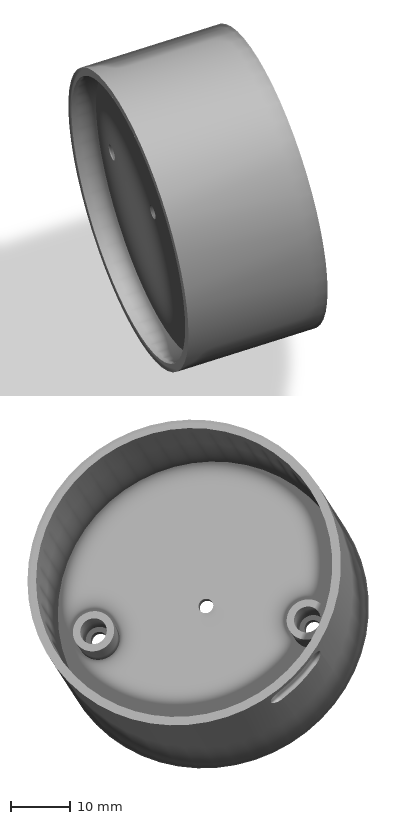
import cadquery as cq
import math

OUTER_DIAMETER = 53.98
INNER_DIAMETER = 51.0
LENGTH = 25.4
FRONT_RECESS_DEPTH = 4.45
WEB_THICKNESS = 1.2

CENTER_HOLE_DIAMETER = 2.54
SIDE_HOLE_DIAMETER = 2.8
SIDE_HOLE_CIRCLE_RADIUS = 19.05
SIDE_HOLE_ANGLE = 15.0

POST_BORE_DIAMETER = 4.57
POST_WALL_THICKNESS = 1.27
POST_HEIGHT = 5.0

SLOT_LENGTH = 12.0
SLOT_WIDTH = 3.9
SLOT_BACK_MARGIN = 1.1
SLOT_ANGLE = 45.0
SLOT_CUTTER_INNER_RADIUS = INNER_DIAMETER / 4

VERTICAL = 90.0
OUTER_RADIUS = OUTER_DIAMETER / 2
WEB_BACK_Y = FRONT_RECESS_DEPTH + WEB_THICKNESS
SIDE_HOLE_OFFSET_X = SIDE_HOLE_CIRCLE_RADIUS * math.cos(math.radians(SIDE_HOLE_ANGLE))
SIDE_HOLE_Z = -SIDE_HOLE_CIRCLE_RADIUS * math.sin(math.radians(SIDE_HOLE_ANGLE))
SIDE_HOLE_XS = (-SIDE_HOLE_OFFSET_X, SIDE_HOLE_OFFSET_X)


def cylinder_along_y(diameter, start_y, length, x=0.0, z=0.0):
    """Solid cylinder running from start_y toward +Y."""
    base = cq.Plane(origin=(x, start_y, z), xDir=(1, 0, 0), normal=(0, 1, 0))
    return cq.Workplane(base).circle(diameter / 2).extrude(length)


def make_shell():
    """Outer cylinder with a recess in each end, leaving the web between them."""
    body = cylinder_along_y(OUTER_DIAMETER, 0, LENGTH)
    front_recess = cylinder_along_y(INNER_DIAMETER, 0, FRONT_RECESS_DEPTH)
    back_recess = cylinder_along_y(INNER_DIAMETER, WEB_BACK_Y, LENGTH - WEB_BACK_Y)
    return body.cut(front_recess).cut(back_recess)


def add_posts(body):
    """Tubular post around each side hole, wider in the bore than the hole itself."""
    post_diameter = POST_BORE_DIAMETER + 2 * POST_WALL_THICKNESS
    for x in SIDE_HOLE_XS:
        post = cylinder_along_y(post_diameter, WEB_BACK_Y, POST_HEIGHT, x, SIDE_HOLE_Z)
        bore = cylinder_along_y(POST_BORE_DIAMETER, WEB_BACK_Y, POST_HEIGHT, x, SIDE_HOLE_Z)
        body = body.union(post.cut(bore))
    return body


def cut_web_holes(body):
    """Center hole and a symmetric pair of side holes."""
    body = body.cut(cylinder_along_y(CENTER_HOLE_DIAMETER, 0, LENGTH))
    for x in SIDE_HOLE_XS:
        body = body.cut(cylinder_along_y(SIDE_HOLE_DIAMETER, 0, LENGTH, x, SIDE_HOLE_Z))
    return body


def cut_wall_slot(body):
    """Slot cut radially through one side of the wall, long around the circumference."""
    slot_y = LENGTH - SLOT_BACK_MARGIN - SLOT_WIDTH / 2
    cutter = (
        cq.Workplane("YZ", origin=(-SLOT_CUTTER_INNER_RADIUS, slot_y, 0))
        .slot2D(SLOT_LENGTH, SLOT_WIDTH, VERTICAL)
        .extrude(SLOT_CUTTER_INNER_RADIUS - OUTER_RADIUS)
        .rotate((0, 0, 0), (0, 1, 0), -SLOT_ANGLE)
    )
    return body.cut(cutter)


housing = add_posts(make_shell())
housing = cut_web_holes(housing)
result = cut_wall_slot(housing)